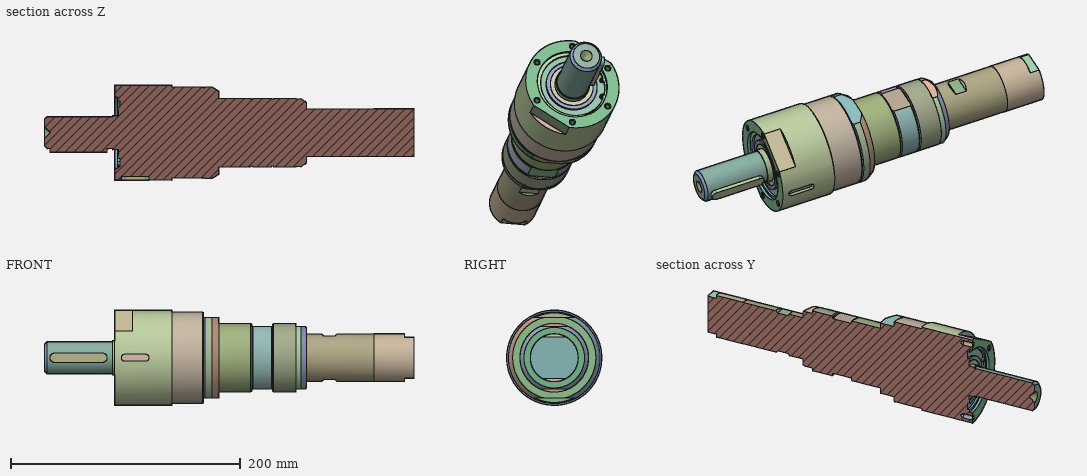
import cadquery as cq
import math

length = 322.0
collar_start = 59.2
flange_start = 61.2
flange_end = 111.0
housing_end = 138.8
front_nut_cone_start = 146.0
front_nut_end = 152.0
mid_ring_start = 180.5
mid_ring_end = 198.7
sleeve_end = 219.0
rear_nut_cone_start = 223.5
rear_nut_end = 228.3
end_cap_start = 287.0

shaft_diameter = 28.0
collar_diameter = 30.0
flange_diameter = 83.0
housing_diameter = 80.0
front_nut_end_diameter = 72.5
sleeve_diameter = 60.0
rear_nut_diameter = 59.5
rear_nut_end_diameter = 52.8
tail_diameter = 41.5
end_cap_diameter = 42.0

shaft_chamfer = 2.3
center_hole_diameter = 10.3
center_hole_depth = 5.0
key_start = 4.8
key_length = 50.0
key_width = 8.0
key_top = 17.0

flange_flat_distance = 37.5
flange_flat_length = 15.5
flange_flat_angle = 30.0
slot_start = 67.0
slot_length = 24.0
slot_width = 6.0
slot_depth = 3.2
bolt_count = 6
bolt_circle_diameter = 72.5
bolt_hole_diameter = 4.0
bolt_countersink_diameter = 5.5
bolt_hole_depth = 9.5

recess_diameter = 62.0
ring_depth = 2.5
ring_thickness = 2.0
ring_bore_diameter = 57.0
ring_bore_offset = 1.0
lug_diameter = 4.0
lug_hole_diameter = 1.55
lug_y = -27.0
lug_z = 7.7
seal_diameter = 45.0
seal_height = 2.0
seal_bore_diameter = 38.0
seal_bore_depth = 0.5

groove_depth = 1.0
front_nut_flat_height = 35.0
sleeve_flat_height = 27.5
tail_flat_height = 19.0
tail_flat_start = 243.0
tail_flat_length = 10.0
end_flat_height = 18.0
end_flat_length = 8.5


def cylinder(x_start, x_end, diameter, y=0.0, z=0.0):
    """Cylinder parallel to X between two stations."""
    plane = cq.Workplane("YZ", origin=(x_start, y, z))
    return plane.circle(diameter / 2).extrude(x_end - x_start)


def cone(x_start, x_end, start_diameter, end_diameter, y=0.0, z=0.0):
    """Cone or truncated cone parallel to X between two stations."""
    solid = cq.Solid.makeCone(
        start_diameter / 2,
        end_diameter / 2,
        x_end - x_start,
        pnt=cq.Vector(x_start, y, z),
        dir=cq.Vector(1, 0, 0),
    )
    return cq.Workplane("XY").add(solid)


def v_groove(x_center, diameter):
    """Ring with a 45 degree V section, to be cut from a cylinder."""
    outer_radius = diameter / 2 + groove_depth
    return (
        cq.Workplane("XY")
        .moveTo(x_center, diameter / 2 - groove_depth)
        .lineTo(x_center + 2 * groove_depth, outer_radius)
        .lineTo(x_center - 2 * groove_depth, outer_radius)
        .close()
        .revolve(360, (0, 0, 0), (1, 0, 0))
    )


def flat_pair(x_start, x_end, distance, ramp=0.0):
    """Cutters for two opposite flats at +Z and -Z, with ends widening outward by the given ramp."""
    upper = (
        cq.Workplane("XZ")
        .moveTo(x_start, distance)
        .lineTo(x_end, distance)
        .lineTo(x_end + ramp * flange_diameter, distance + flange_diameter)
        .lineTo(x_start - ramp * flange_diameter, distance + flange_diameter)
        .close()
        .extrude(flange_diameter / 2, both=True)
    )
    return upper.union(upper.mirror("XY"))


def side_slot(x_start, slot_size, width, y_inner, y_outer):
    """Round-ended bar on the -Y side, between two distances from the axis."""
    plane = cq.Workplane("XZ", origin=(x_start + slot_size / 2, -y_inner, 0))
    return plane.slot2D(slot_size, width).extrude(y_outer - y_inner)


def output_shaft():
    shaft = cylinder(0, flange_end, shaft_diameter).faces("<X").chamfer(shaft_chamfer)
    shaft = shaft.union(cylinder(collar_start, flange_end, collar_diameter))
    shaft = shaft.union(side_slot(key_start, key_length, key_width, 0, key_top))
    return shaft.cut(cone(0, center_hole_depth, center_hole_diameter, 0))


def flange():
    body = cylinder(flange_start, flange_end, flange_diameter)
    flats = flat_pair(flange_start, flange_start + flange_flat_length, flange_flat_distance)
    body = body.cut(flats.rotate((0, 0, 0), (1, 0, 0), flange_flat_angle))
    slot_floor = flange_diameter / 2 - slot_depth
    body = body.cut(side_slot(slot_start, slot_length, slot_width, slot_floor, flange_diameter))
    for index in range(bolt_count):
        angle = 2 * math.pi * index / bolt_count
        y = bolt_circle_diameter / 2 * math.sin(angle)
        z = bolt_circle_diameter / 2 * math.cos(angle)
        countersink_end = flange_start + bolt_countersink_diameter / 2
        hole_end = flange_start + bolt_hole_depth
        body = body.cut(cone(flange_start, countersink_end, bolt_countersink_diameter, 0, y, z))
        body = body.cut(cylinder(flange_start, hole_end, bolt_hole_diameter, y, z))
        body = body.cut(cone(hole_end, hole_end + bolt_hole_diameter / 2, bolt_hole_diameter, 0, y, z))
    return cut_face_recess(body)


def cut_face_recess(body):
    ring_face = flange_start + ring_depth
    floor = ring_face + ring_thickness
    seal_face = floor - seal_height
    body = body.cut(cylinder(flange_start, ring_face, recess_diameter))
    body = body.cut(cylinder(ring_face, floor, ring_bore_diameter, y=-ring_bore_offset))
    for z in (-lug_z, lug_z):
        body = body.union(cylinder(ring_face, floor, lug_diameter, lug_y, z))
        body = body.cut(cylinder(ring_face, floor, lug_hole_diameter, lug_y, z))
    body = body.union(cylinder(seal_face, floor, seal_diameter))
    return body.cut(cylinder(seal_face, seal_face + seal_bore_depth, seal_bore_diameter))


def housing_and_front_nut():
    body = cylinder(flange_end, front_nut_cone_start, housing_diameter)
    body = body.union(
        cone(front_nut_cone_start, front_nut_end, housing_diameter, front_nut_end_diameter)
    )
    body = body.cut(v_groove(housing_end, housing_diameter))
    return body.cut(flat_pair(housing_end, front_nut_end, front_nut_flat_height))


def sleeve_and_rear_nut():
    body = cylinder(front_nut_end, sleeve_end, sleeve_diameter)
    body = body.union(cylinder(sleeve_end, rear_nut_cone_start, rear_nut_diameter))
    body = body.union(cone(rear_nut_cone_start, rear_nut_end, rear_nut_diameter, rear_nut_end_diameter))
    for x_center in (mid_ring_start, mid_ring_end):
        body = body.cut(v_groove(x_center, sleeve_diameter))
    body = body.cut(flat_pair(mid_ring_start, mid_ring_end, sleeve_flat_height))
    return body.cut(flat_pair(sleeve_end, rear_nut_end, sleeve_flat_height))


def tail():
    body = cylinder(rear_nut_end, end_cap_start, tail_diameter)
    body = body.union(cylinder(end_cap_start, length, end_cap_diameter))
    tail_flat_end = tail_flat_start + tail_flat_length
    body = body.cut(flat_pair(tail_flat_start, tail_flat_end, tail_flat_height, ramp=1.0))
    return body.cut(flat_pair(length - end_flat_length, length, end_flat_height))


result = flange().union(output_shaft())
result = result.union(housing_and_front_nut())
result = result.union(sleeve_and_rear_nut())
result = result.union(tail())